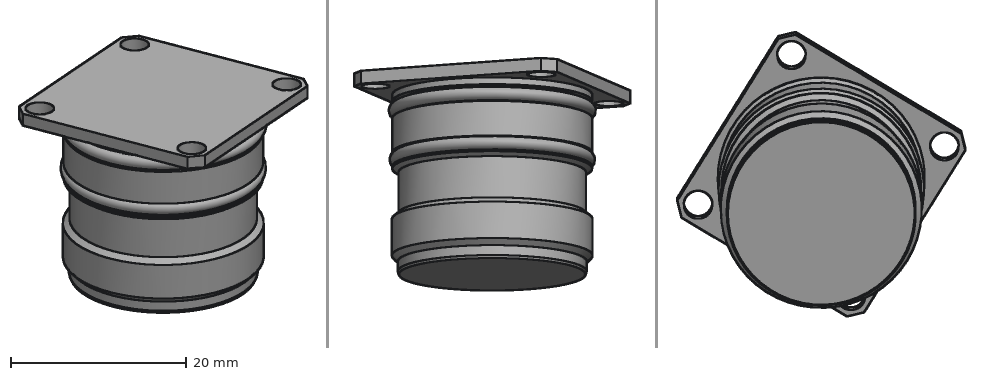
import cadquery as cq

flange_side = 25.0
flange_thickness = 1.5
flange_corner_chamfer = 1.42
hole_diameter = 3.25
hole_pitch = 20.45

collar_radius = 11.42
groove_radius = 10.5
neck_radius = 10.72
band_radius = 11.48
tip_radius = 10.8
tip_edge_inset = 0.15

upper_groove_top = 2.28
upper_groove_bottom = 4.22
lower_groove_top = 8.22
lower_groove_bottom = 9.82
collar_bottom = 10.05
neck_top = 10.5
neck_bottom = 15.28
band_top = 15.9
band_bottom = 20.12
tip_top = 20.82
tip_edge_top = 21.98
total_height = 22.3

ring_section_radius = 0.75
upper_ring_outer_radius = 11.82
upper_ring_depth = 3.3
lower_ring_outer_radius = 11.72
lower_ring_depth = 9.0


def make_flange():
    """Square plate with chamfered corners and four through holes."""
    return (
        cq.Workplane("XY")
        .workplane(offset=-flange_thickness)
        .rect(flange_side, flange_side)
        .extrude(flange_thickness)
        .edges("|Z")
        .chamfer(flange_corner_chamfer)
        .faces(">Z")
        .workplane()
        .rect(hole_pitch, hole_pitch, forConstruction=True)
        .vertices()
        .hole(hole_diameter)
    )


def make_body():
    """Turned plug: grooved collar, neck, wide band and tip."""
    radius_at_depth = [
        (collar_radius, flange_thickness),
        (collar_radius, upper_groove_top),
        (groove_radius, upper_groove_top),
        (groove_radius, upper_groove_bottom),
        (collar_radius, upper_groove_bottom),
        (collar_radius, lower_groove_top),
        (groove_radius, lower_groove_top),
        (groove_radius, lower_groove_bottom),
        (collar_radius, lower_groove_bottom),
        (collar_radius, collar_bottom),
        (neck_radius, neck_top),
        (neck_radius, neck_bottom),
        (band_radius, band_top),
        (band_radius, band_bottom),
        (tip_radius, tip_top),
        (tip_radius, tip_edge_top),
        (tip_radius - tip_edge_inset, total_height),
    ]
    profile = [(-radius, -depth) for radius, depth in radius_at_depth]
    profile = [(0, -flange_thickness)] + profile + [(0, -total_height)]
    return cq.Workplane("YZ").polyline(profile).close().revolve(360, (0, 0), (0, 1))


def make_ring(outer_radius, depth):
    """O-ring around the Z axis, centred at the given depth."""
    centre_radius = outer_radius - ring_section_radius
    return (
        cq.Workplane("YZ")
        .center(-centre_radius, -depth)
        .circle(ring_section_radius)
        .revolve(360, (centre_radius, 0), (centre_radius, 1))
    )


result = (
    make_flange()
    .union(make_body())
    .union(make_ring(upper_ring_outer_radius, upper_ring_depth))
    .union(make_ring(lower_ring_outer_radius, lower_ring_depth))
)